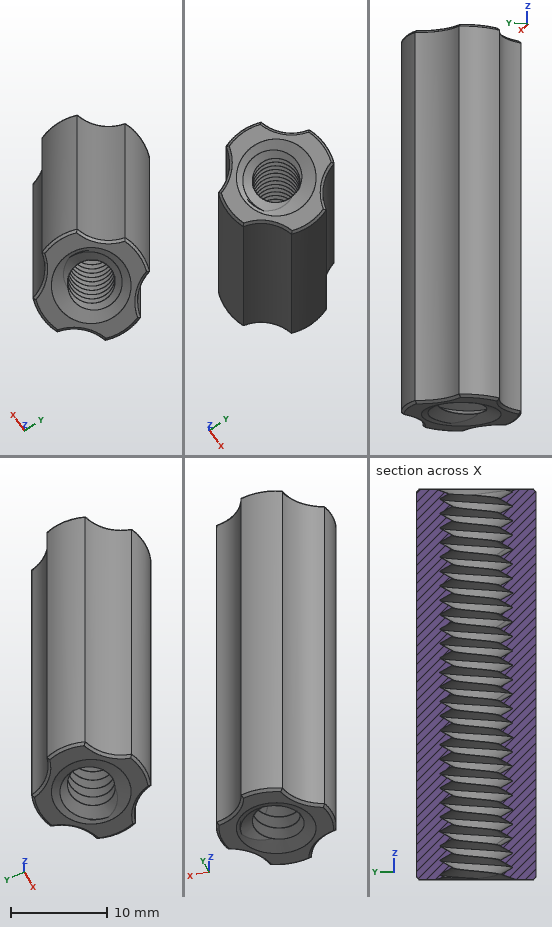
import cadquery as cq
import math

LENGTH = 40.6
BODY_DIAMETER = 12.47
BODY_RADIUS = BODY_DIAMETER / 2
LOBE_COUNT = 4
LOBE_HALF_WIDTH = 2.25
HOLLOW_RADIUS = 4.87
END_CHAMFER = 0.3

COUNTERSINK_RADIUS = 4.15
COUNTERSINK_ANGLE = 20
COUNTERSINK_SLOPE = math.tan(math.radians(COUNTERSINK_ANGLE))

BORE_RADIUS = 2.48
GROOVE_ROOT_RADIUS = 3.78
THREAD_PITCH = 1.5
CREST_FLAT = 0.05
CUTTER_OVERLAP = 0.15
ROOT_EXIT_ANGLE = -56
TURNS_PER_CUT = 5


def make_body():
    lobe_reach = math.sqrt(BODY_RADIUS**2 - LOBE_HALF_WIDTH**2)
    chord_distance = (lobe_reach + LOBE_HALF_WIDTH) / math.sqrt(2)
    half_chord = (lobe_reach - LOBE_HALF_WIDTH) / math.sqrt(2)
    hollow_distance = chord_distance + math.sqrt(HOLLOW_RADIUS**2 - half_chord**2)
    hollows = (
        cq.Workplane("XY")
        .polarArray(hollow_distance, 180 / LOBE_COUNT, 360, LOBE_COUNT)
        .circle(HOLLOW_RADIUS)
        .extrude(LENGTH)
    )
    bar = cq.Workplane("XY").circle(BODY_RADIUS).extrude(LENGTH)
    return bar.cut(hollows).faces("|Z").chamfer(END_CHAMFER)


def make_bore():
    """The plain bore with a conical countersink at each end, as one revolved solid."""
    depth = (COUNTERSINK_RADIUS - BORE_RADIUS) * COUNTERSINK_SLOPE
    profile = [
        (0, 0),
        (COUNTERSINK_RADIUS, 0),
        (BORE_RADIUS, depth),
        (BORE_RADIUS, LENGTH - depth),
        (COUNTERSINK_RADIUS, LENGTH),
        (0, LENGTH),
    ]
    return cq.Workplane("XZ").polyline(profile).close().revolve(360, (0, 0), (0, 1))


def make_groove_length():
    """A few turns of the V groove, starting at height zero."""
    half_mouth = (THREAD_PITCH - CREST_FLAT) / 2
    inner_radius = BORE_RADIUS - CUTTER_OVERLAP
    profile = [
        (inner_radius, -half_mouth),
        (BORE_RADIUS, -half_mouth),
        (GROOVE_ROOT_RADIUS, 0),
        (BORE_RADIUS, half_mouth),
        (inner_radius, half_mouth),
    ]
    helix = cq.Wire.makeHelix(THREAD_PITCH, TURNS_PER_CUT * THREAD_PITCH, BORE_RADIUS)
    groove = cq.Workplane("XZ").polyline(profile).close().sweep(cq.Workplane(helix), isFrenet=True)
    return groove.rotate((0, 0, 0), (0, 0, 1), ROOT_EXIT_ANGLE)


def cut_thread(part):
    """Cut the groove from above the top face down through the bottom face."""
    root_exit_height = LENGTH - (COUNTERSINK_RADIUS - GROOVE_ROOT_RADIUS) * COUNTERSINK_SLOPE
    groove_top = root_exit_height + THREAD_PITCH
    cut_height = TURNS_PER_CUT * THREAD_PITCH
    cut_count = math.ceil((groove_top + THREAD_PITCH) / cut_height)
    groove = make_groove_length()
    for index in range(1, cut_count + 1):
        part = part.cut(groove.translate((0, 0, groove_top - index * cut_height)), clean=False)
    return part


result = cut_thread(make_body().cut(make_bore()))